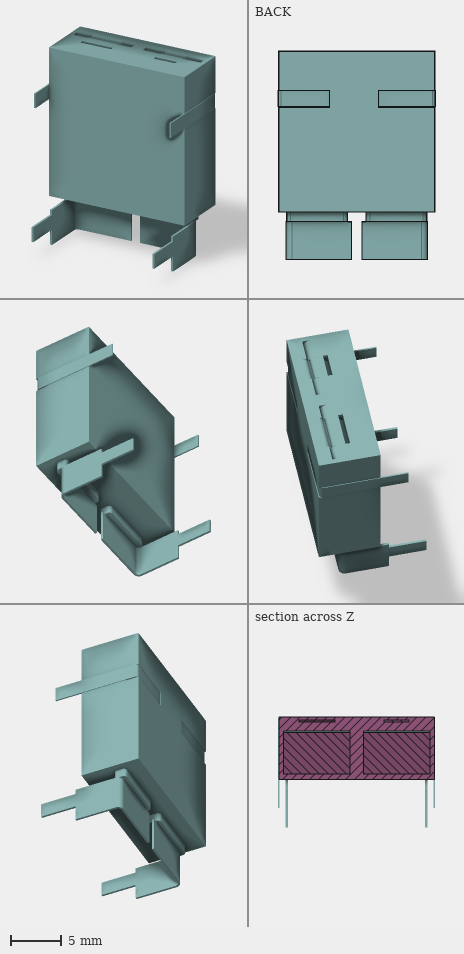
import cadquery as cq
import math


HOUSING_WIDTH = 15.58
HOUSING_DEPTH = 6.3
HOUSING_HEIGHT = 16.05
LID_THICKNESS = 1.66
LID_BOTTOM = HOUSING_HEIGHT - LID_THICKNESS

OPENING_OFFSET = 4.0
OPENING_WIDTH = 6.64
OPENING_FRONT = 0.62
OPENING_BACK = 4.83
PANEL_GAP = 0.08
PANEL_RADIUS = 0.8
PANEL_BACK = OPENING_BACK - PANEL_GAP

UNIT_OFFSET = 3.95

SHEET_THICKNESS = 0.15
STRIP_PROJECTION = 0.06
STRIP_BOTTOM = 10.52
STRIP_HEIGHT = 1.58
STRIP_REACH = 2.85
STRIP_BEND_RADIUS = 0.31
SPRING_BACK = 6.25
STRIP_SIDE = HOUSING_WIDTH / 2 + STRIP_PROJECTION
STRIP_TOP = STRIP_BOTTOM + STRIP_HEIGHT
CLIP_WIDTHS = {-1: 3.55, 1: 2.45}
CLIP_BACK = 5.93
REAR_RADIUS = 0.48
FRONT_RADIUS = 0.4
REAR_BEND = 5.22
FRONT_BEND = 4.12
CLIP_FRONT = 3.16
CLIP_DEPTH = REAR_RADIUS + SHEET_THICKNESS

LEDGE_FRONT = 4.9
LEDGE_DROP = 0.08

SLOT_FRONT = 2.68
SLOT_FLOOR_ANGLE = 45
SLOT_FLOOR_DROP = (CLIP_FRONT - SLOT_FRONT) * math.tan(math.radians(SLOT_FLOOR_ANGLE))

FOOT_WIDTH = 6.1
FOOT_FRONT = 3.16
FOOT_DEPTH = 1.35
FOOT_HEIGHT = 0.95
FOOT_RADIUS = 0.4

TERMINAL_THICKNESS = 0.23
TERMINAL_OUTER = 7.07
TERMINAL_INNER = 0.52
TERMINAL_BACK = 4.04
TERMINAL_BEND_RADIUS = 0.62
TERMINAL_HEIGHT = 3.79
TERMINAL_SHOULDER = -1.02
TERMINAL_TIP = -4.8
TAB_TOP = -1.5
TAB_HEIGHT = 1.58

SIDES = (-1, 1)


def block(x_range, y_range, z_range):
    """Box between a low and a high limit along each axis."""
    ranges = (x_range, y_range, z_range)
    sizes = [high - low for low, high in ranges]
    corner = tuple(low for low, high in ranges)
    return cq.Workplane("XY").box(*sizes, centered=False).translate(corner)


def arc_middle(center, radius, direction):
    """Middle of an upper quarter circle, on the side given by the sign of direction."""
    offset = radius * math.sqrt(0.5)
    return (center[0] + direction * offset, center[1] + offset)


def bent_sheet(outer_x, inner_x, front_y, back_y, thickness, radius, bottom, height):
    """Upright L-shaped sheet on the +X side, with its bend at the outer back corner."""
    inside_radius = radius - thickness
    bend_x = outer_x - radius
    bend_y = back_y - radius
    bend_center = (bend_x, bend_y)
    return (
        cq.Workplane("XY", origin=(0, 0, bottom))
        .moveTo(outer_x, front_y)
        .lineTo(outer_x, bend_y)
        .threePointArc(arc_middle(bend_center, radius, 1), (bend_x, back_y))
        .lineTo(inner_x, back_y)
        .lineTo(inner_x, back_y - thickness)
        .lineTo(bend_x, back_y - thickness)
        .threePointArc(arc_middle(bend_center, inside_radius, 1), (outer_x - thickness, bend_y))
        .lineTo(outer_x - thickness, front_y)
        .close()
        .extrude(height)
    )


def on_side(body, side):
    """Keep a body made for the +X side, or mirror it to the -X side."""
    return body if side > 0 else body.mirror("YZ")


def clip_extrusion(outline, side):
    """Extrude a closed YZ outline across the width of one clip."""
    return outline.extrude(CLIP_WIDTHS[side] / 2, both=True).translate((side * UNIT_OFFSET, 0, 0))


def clip_inner_edge(side):
    """Distance from X = 0 to the edge of a clip nearest the middle."""
    return UNIT_OFFSET - CLIP_WIDTHS[side] / 2


def make_clip(side):
    """Clip with a valley between its two flats, and the riser that carries it."""
    top = HOUSING_HEIGHT
    underside = top - SHEET_THICKNESS
    valley = top - REAR_RADIUS
    valley_underside = top - CLIP_DEPTH
    rear_center = (REAR_BEND, valley)
    front_center = (FRONT_BEND, top - FRONT_RADIUS)
    rear_inside = REAR_RADIUS - SHEET_THICKNESS
    front_inside = FRONT_RADIUS - SHEET_THICKNESS
    outline = (
        cq.Workplane("YZ")
        .moveTo(CLIP_BACK, top)
        .lineTo(REAR_BEND, top)
        .threePointArc(arc_middle(rear_center, REAR_RADIUS, -1), (REAR_BEND - REAR_RADIUS, valley))
        .lineTo(FRONT_BEND + FRONT_RADIUS, valley)
        .lineTo(FRONT_BEND + FRONT_RADIUS, top - FRONT_RADIUS)
        .threePointArc(arc_middle(front_center, FRONT_RADIUS, 1), (FRONT_BEND, top))
        .lineTo(CLIP_FRONT, top)
        .lineTo(CLIP_FRONT, underside)
        .lineTo(FRONT_BEND, underside)
        .threePointArc(
            arc_middle(front_center, front_inside, 1),
            (FRONT_BEND + front_inside, top - FRONT_RADIUS),
        )
        .lineTo(FRONT_BEND + front_inside, valley_underside)
        .lineTo(REAR_BEND - rear_inside, valley_underside)
        .lineTo(REAR_BEND - rear_inside, valley)
        .threePointArc(arc_middle(rear_center, rear_inside, -1), (REAR_BEND, underside))
        .lineTo(CLIP_BACK - SHEET_THICKNESS, underside)
        .lineTo(CLIP_BACK - SHEET_THICKNESS, STRIP_BOTTOM)
        .lineTo(SPRING_BACK, STRIP_BOTTOM)
        .lineTo(SPRING_BACK, STRIP_TOP)
        .lineTo(CLIP_BACK, STRIP_TOP)
        .close()
    )
    return clip_extrusion(outline, side)


def make_spring(side):
    """Side strip and back leg, joined to the clip through its riser."""
    strip = bent_sheet(
        STRIP_SIDE, clip_inner_edge(side), -STRIP_REACH, SPRING_BACK,
        SHEET_THICKNESS, STRIP_BEND_RADIUS, STRIP_BOTTOM, STRIP_HEIGHT,
    )
    return on_side(strip, side).union(make_clip(side))


def make_clip_seat(side):
    """Room for a clip in the lid and the panel, deeper where the clip bends down."""
    top = HOUSING_HEIGHT
    outline = (
        cq.Workplane("YZ")
        .moveTo(CLIP_FRONT, top)
        .lineTo(CLIP_FRONT, top - SHEET_THICKNESS)
        .lineTo(FRONT_BEND, top - SHEET_THICKNESS)
        .lineTo(FRONT_BEND, top - CLIP_DEPTH)
        .lineTo(REAR_BEND, top - CLIP_DEPTH)
        .lineTo(REAR_BEND, top - SHEET_THICKNESS)
        .lineTo(CLIP_BACK, top - SHEET_THICKNESS)
        .lineTo(CLIP_BACK, top)
        .close()
    )
    return clip_extrusion(outline, side)


def make_terminal(side):
    """Bent plate under a foot, with a narrow tab pointing forward."""
    terminal = bent_sheet(
        TERMINAL_OUTER, TERMINAL_INNER, TERMINAL_SHOULDER, TERMINAL_BACK,
        TERMINAL_THICKNESS, TERMINAL_BEND_RADIUS, -FOOT_HEIGHT - TERMINAL_HEIGHT, TERMINAL_HEIGHT,
    )
    tab = block(
        (TERMINAL_OUTER - TERMINAL_THICKNESS, TERMINAL_OUTER),
        (TERMINAL_TIP, TERMINAL_SHOULDER),
        (TAB_TOP - TAB_HEIGHT, TAB_TOP),
    )
    return on_side(terminal.union(tab), side)


def make_opening(side, back):
    """Block the size of a top opening, from its front to the given back."""
    center = side * OPENING_OFFSET
    return block(
        (center - OPENING_WIDTH / 2, center + OPENING_WIDTH / 2),
        (OPENING_FRONT, back),
        (LID_BOTTOM, HOUSING_HEIGHT),
    )


def make_slot(side):
    """Slot in front of a clip, with an upright back wall and a floor that slopes to the front."""
    floor_back = HOUSING_HEIGHT - CLIP_DEPTH
    outline = (
        cq.Workplane("YZ")
        .moveTo(SLOT_FRONT, HOUSING_HEIGHT)
        .lineTo(CLIP_FRONT, HOUSING_HEIGHT)
        .lineTo(CLIP_FRONT, floor_back)
        .lineTo(SLOT_FRONT, floor_back - SLOT_FLOOR_DROP)
        .close()
    )
    return clip_extrusion(outline, side)


def make_panel(side):
    """Panel flush with the housing top, with a rounded upper back edge."""
    panel = make_opening(side, PANEL_BACK)
    return panel.edges(">Y and >Z").fillet(PANEL_RADIUS)


def make_foot(side):
    """Block with rounded upright edges under one unit."""
    center = side * UNIT_OFFSET
    foot = block(
        (center - FOOT_WIDTH / 2, center + FOOT_WIDTH / 2),
        (FOOT_FRONT, FOOT_FRONT + FOOT_DEPTH),
        (-FOOT_HEIGHT, 0),
    )
    return foot.edges("|Z").fillet(FOOT_RADIUS)


def make_core():
    """Block that fills the housing below its lid."""
    half_width = OPENING_OFFSET + OPENING_WIDTH / 2
    return block((-half_width, half_width), (OPENING_FRONT, OPENING_BACK), (0, LID_BOTTOM))


def make_insert():
    """Core with two panels on top and two feet below."""
    insert = make_core()
    for side in SIDES:
        insert = insert.union(make_panel(side)).union(make_foot(side))
        insert = insert.cut(make_clip_seat(side)).cut(make_slot(side))
    return insert


def make_spring_grooves(side):
    """Grooves for a strip along the housing side and for its leg along the housing back."""
    groove_floor = STRIP_SIDE - SHEET_THICKNESS
    ledge_range = (STRIP_BOTTOM - LEDGE_DROP, STRIP_TOP)
    side_groove = block((groove_floor, STRIP_SIDE), (0, HOUSING_DEPTH), (STRIP_BOTTOM, STRIP_TOP))
    ledge = block((groove_floor, STRIP_SIDE), (LEDGE_FRONT, HOUSING_DEPTH), ledge_range)
    back_groove = block(
        (clip_inner_edge(side), STRIP_SIDE),
        (SPRING_BACK - STRIP_BEND_RADIUS, HOUSING_DEPTH),
        ledge_range,
    )
    return on_side(side_groove.union(ledge).union(back_groove), side)


def make_housing():
    """Cover open at the bottom, with two openings through its lid."""
    housing = block(
        (-HOUSING_WIDTH / 2, HOUSING_WIDTH / 2), (0, HOUSING_DEPTH), (0, HOUSING_HEIGHT)
    ).cut(make_core())
    for side in SIDES:
        housing = housing.cut(make_opening(side, OPENING_BACK)).cut(make_clip_seat(side))
        housing = housing.cut(make_spring_grooves(side)).cut(make_spring(side))
    return housing


housing = make_housing()
insert = make_insert()
springs = [make_spring(side) for side in SIDES]
terminals = [make_terminal(side) for side in SIDES]

result = cq.Compound.makeCompound([
    housing.val(),
    insert.val(),
    *[spring.val() for spring in springs],
    *[terminal.val() for terminal in terminals],
])